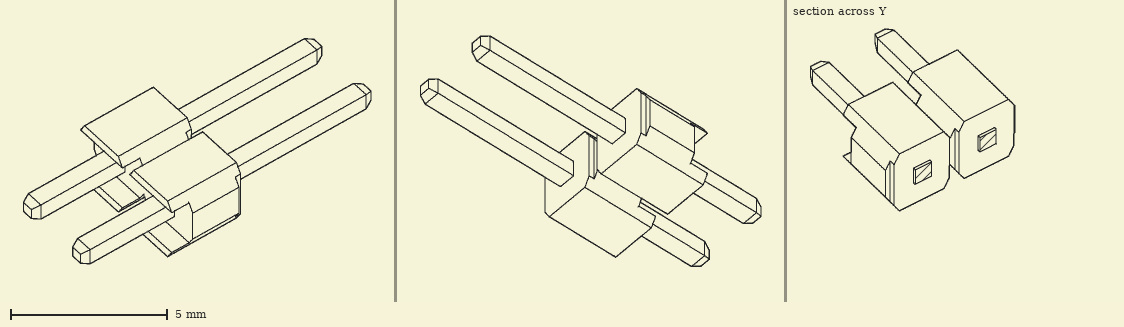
import cadquery as cq

pin_count = 2
pin_length = 11.8
pin_width = 0.65
tip_width = 0.41
tip_length = 0.3

body_height = 2.54
body_width = 5.09
pitch = body_width / pin_count
flat_width = 1.75
side_height = 1.18
core_height = 1.82

front_pin_length = 3.01
body_length = 2.8
lip_length = 0.71
rear_length = 0.21

pin_front = -pin_length / 2
body_front = pin_front + front_pin_length
body_rear = body_front + body_length

slope = (pitch - flat_width) / (body_height - side_height)
lip_width = flat_width + slope * (body_height - core_height)


def box_between(width, y_start, y_end, height):
    """Box centred on the pin axis, running from y_start to y_end."""
    box = cq.Workplane("XY").box(width, y_end - y_start, height)
    return box.translate((0, (y_start + y_end) / 2, 0))


def make_cell():
    """Eight-sided housing cell with front lips and a narrowed rear."""
    outline = [
        (-pitch / 2, -side_height / 2),
        (-flat_width / 2, -body_height / 2),
        (flat_width / 2, -body_height / 2),
        (pitch / 2, -side_height / 2),
        (pitch / 2, side_height / 2),
        (flat_width / 2, body_height / 2),
        (-flat_width / 2, body_height / 2),
        (-pitch / 2, side_height / 2),
    ]
    cell = cq.Workplane("XZ", origin=(0, body_front, 0)).polyline(outline).close().extrude(-body_length)
    cell = cell.cut(box_between(pitch, body_front, body_front + lip_length, core_height))
    rear_start = body_rear - rear_length
    rear_sides = box_between(pitch, rear_start, body_rear, core_height).cut(
        box_between(lip_width, rear_start, body_rear, core_height)
    )
    return cell.cut(rear_sides)


def make_tip(y_base, direction):
    """Tapered pin end growing along Y in the given direction (+1 or -1)."""
    base = cq.Plane(origin=(0, y_base, 0), xDir=(1, 0, 0), normal=(0, direction, 0))
    return (
        cq.Workplane(base)
        .rect(pin_width, pin_width)
        .workplane(offset=tip_length)
        .rect(tip_width, tip_width)
        .loft(ruled=True)
    )


def make_pin():
    """Square pin with a tapered tip at both ends."""
    shaft_front = pin_front + tip_length
    shaft_rear = -shaft_front
    shaft = box_between(pin_width, shaft_front, shaft_rear, pin_width)
    return shaft.union(make_tip(shaft_front, -1)).union(make_tip(shaft_rear, 1))


position = make_cell().union(make_pin())
result = cq.Workplane("XY")
for index in range(pin_count):
    x_center = (index - (pin_count - 1) / 2) * pitch
    result = result.union(position.translate((x_center, 0, 0)))